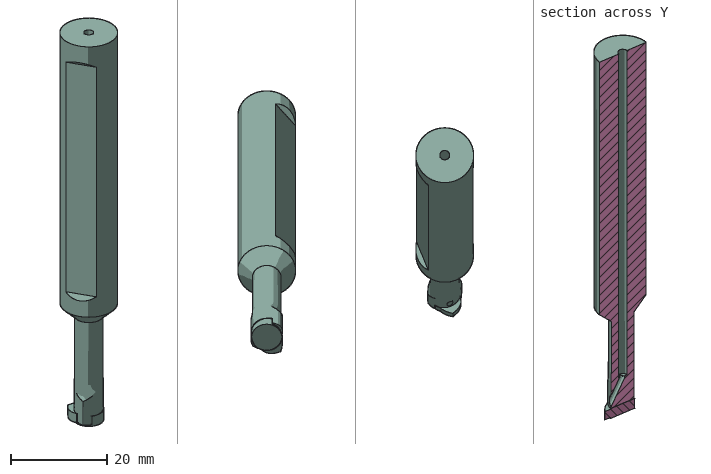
import cadquery as cq
import math

total_height = 92.55
shank_radius = 6.0
neck_radius = 3.01
cone_bottom = 24.8
cone_top = cone_bottom + shank_radius - neck_radius
flare_top = 9.8
flare_bottom = 6.2
head_half_depth = 3.75
head_half_width = neck_radius
head_bottom = 0.6
prong_half_width = 1.7

flat_offset = 5.0
flat_bottom = 32.6
flat_top = 87.55
flat_run_out = shank_radius - flat_offset

bore_diameter = 2.0
bore_bottom = 9.5
outlet_diameter = 1.3
outlet_exit_height = 4.35

insert_radius = 3.15
insert_height = 2.5
tooth_bottom = 0.3
tooth_reach = 4.6
tooth_face_end = (-4.3, -0.9)
tooth_back_root_y = 2.2
tooth_front_root_y = -2.8
tooth_back_bulge = 0.23
tooth_front_bulge = 0.6


def stem():
    """Revolved shank, cone, neck and flare; the flare is tangent to the neck."""
    drop = flare_top - flare_bottom
    growth = head_half_depth - neck_radius
    flare_radius = (drop**2 + growth**2) / (2 * growth)
    half_angle = math.asin(drop / flare_radius) / 2
    flare_mid = (
        neck_radius + flare_radius * (1 - math.cos(half_angle)),
        flare_top - flare_radius * math.sin(half_angle),
    )
    return (
        cq.Workplane("XZ")
        .moveTo(0, head_bottom)
        .lineTo(head_half_depth, head_bottom)
        .lineTo(head_half_depth, flare_bottom)
        .threePointArc(flare_mid, (neck_radius, flare_top))
        .lineTo(neck_radius, cone_bottom)
        .lineTo(shank_radius, cone_top)
        .lineTo(shank_radius, total_height)
        .lineTo(0, total_height)
        .close()
        .revolve(360, (0, 0, 0), (0, 1, 0))
    )


def head_trim():
    """Material outside the two arcs that meet at the pointed edges of the head."""
    height = flare_top - head_bottom
    block_side = 4 * head_half_depth
    block = (
        cq.Workplane("XY")
        .workplane(offset=head_bottom)
        .rect(block_side, block_side)
        .extrude(height)
    )
    lens = (
        cq.Workplane("XY")
        .workplane(offset=head_bottom)
        .moveTo(0, head_half_depth)
        .threePointArc((-head_half_width, 0), (0, -head_half_depth))
        .threePointArc((head_half_width, 0), (0, head_half_depth))
        .close()
        .extrude(height)
    )
    return block.cut(lens)


def clamping_flat(side):
    """Cutter for the flat on the +Y (side = 1) or -Y (side = -1) face of the shank."""
    return (
        cq.Workplane("YZ")
        .polyline([
            (side * flat_offset, flat_bottom),
            (side * shank_radius, flat_bottom - flat_run_out),
            (side * shank_radius, flat_top + flat_run_out),
            (side * flat_offset, flat_top),
        ])
        .close()
        .extrude(shank_radius, both=True)
    )


def coolant_channel():
    """Axial bore and the sloping outlet that starts at its bottom."""
    bore = (
        cq.Workplane("XY")
        .workplane(offset=bore_bottom)
        .circle(bore_diameter / 2)
        .extrude(total_height - bore_bottom)
    )
    outlet_start = cq.Vector(0, 0, bore_bottom)
    outlet_exit = cq.Vector(-head_half_width, 0, outlet_exit_height)
    direction = outlet_exit - outlet_start
    outlet_length = direction.Length + outlet_diameter * 2
    outlet = cq.Solid.makeCylinder(outlet_diameter / 2, outlet_length, outlet_start, direction)
    return bore.union(cq.Workplane(outlet))


def bulged_midpoint(start, end, bulge):
    """Middle of an arc that bulges to the right of the chord from start to end."""
    dx = end[0] - start[0]
    dy = end[1] - start[1]
    chord = math.hypot(dx, dy)
    return (
        (start[0] + end[0]) / 2 + bulge * dy / chord,
        (start[1] + end[1]) / 2 - bulge * dx / chord,
    )


def make_insert():
    base = cq.Workplane("XY").circle(insert_radius).extrude(insert_height)
    back_root = (-math.sqrt(insert_radius**2 - tooth_back_root_y**2), tooth_back_root_y)
    front_root = (-math.sqrt(insert_radius**2 - tooth_front_root_y**2), tooth_front_root_y)
    tip = (-tooth_reach, 0)
    tooth = (
        cq.Workplane("XY")
        .workplane(offset=tooth_bottom)
        .moveTo(0, 0)
        .lineTo(*back_root)
        .threePointArc(bulged_midpoint(back_root, tip, tooth_back_bulge), tip)
        .lineTo(*tooth_face_end)
        .threePointArc(bulged_midpoint(tooth_face_end, front_root, tooth_front_bulge), front_root)
        .close()
        .extrude(insert_height - tooth_bottom)
    )
    return base.union(tooth)


def insert_seat():
    """Round seat open to the bottom, and the sides cleared to leave two prongs."""
    seat = cq.Workplane("XY").circle(insert_radius).extrude(insert_height)
    for side in (-1, 1):
        clearance = (
            cq.Workplane("XY")
            .center(side * (prong_half_width + head_half_depth), 0)
            .rect(2 * head_half_depth, 4 * head_half_depth)
            .extrude(insert_height)
        )
        seat = seat.union(clearance)
    return seat


def make_holder(insert):
    body = stem().cut(head_trim())
    for side in (-1, 1):
        body = body.cut(clamping_flat(side))
    return body.cut(coolant_channel()).cut(insert_seat()).cut(insert)


insert = make_insert()
holder = make_holder(insert)
result = cq.Compound.makeCompound([holder.solids().val(), insert.solids().val()])